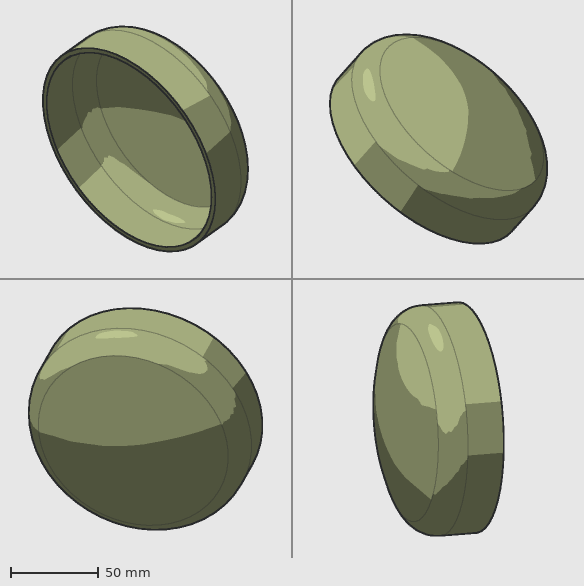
import cadquery as cq
import math

outer_diameter = 133.0
inner_diameter = 127.0
skirt_height = 22.0
inner_crown_radius = outer_diameter
inner_knuckle_radius = outer_diameter / 10

wall = (outer_diameter - inner_diameter) / 2
outer_radius = outer_diameter / 2
outer_crown_radius = inner_crown_radius + wall
outer_knuckle_radius = inner_knuckle_radius + wall

knuckle_centre_x = outer_radius - outer_knuckle_radius
crown_half_angle = math.asin(knuckle_centre_x / (inner_crown_radius - inner_knuckle_radius))
crown_centre_y = skirt_height - knuckle_centre_x / math.tan(crown_half_angle)


def polar_point(centre, radius, angle):
    """Point at a radius from a centre, with the angle measured from the +Y axis."""
    return (centre[0] + radius * math.sin(angle), centre[1] + radius * math.cos(angle))


def dished_solid(skirt_radius, knuckle_radius, crown_radius):
    """Solid bounded by one skin of the cap, revolved about the Y axis."""
    knuckle_centre = (knuckle_centre_x, skirt_height)
    crown_centre = (0, crown_centre_y)
    knuckle_middle_angle = (math.pi / 2 + crown_half_angle) / 2
    return (
        cq.Workplane("XY")
        .lineTo(skirt_radius, 0)
        .lineTo(skirt_radius, skirt_height)
        .threePointArc(
            polar_point(knuckle_centre, knuckle_radius, knuckle_middle_angle),
            polar_point(knuckle_centre, knuckle_radius, crown_half_angle),
        )
        .threePointArc(
            polar_point(crown_centre, crown_radius, crown_half_angle / 2),
            polar_point(crown_centre, crown_radius, 0),
        )
        .close()
        .revolve(360, (0, 0, 0), (0, 1, 0))
    )


outer_body = dished_solid(outer_radius, outer_knuckle_radius, outer_crown_radius)
cavity = dished_solid(inner_diameter / 2, inner_knuckle_radius, inner_crown_radius)
result = outer_body.cut(cavity)